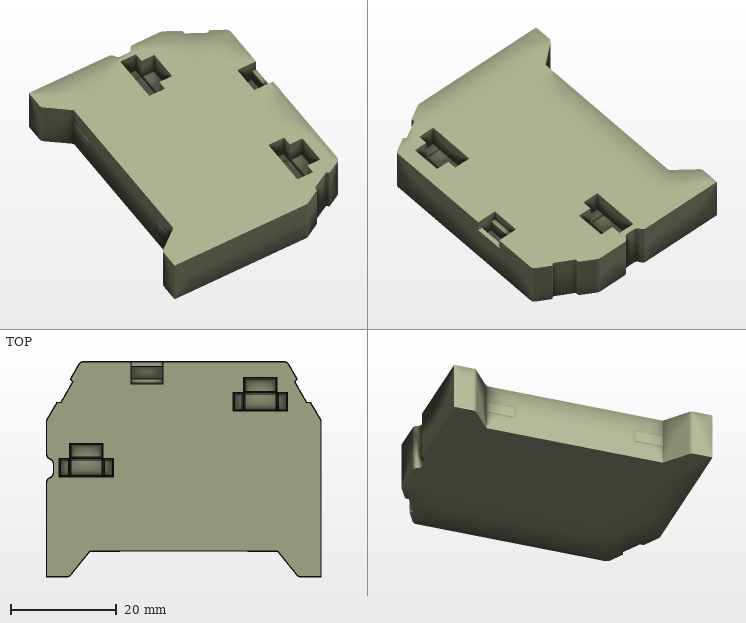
import cadquery as cq
import math

width = 52.0
height = 40.77
thickness = 9.5
half_width = width / 2
mid_plane = thickness / 2

flank_angle = math.radians(30)
top_half_width = 19.57
latch_tip_depth = 3.3
latch_root_depth = 3.85
latch_root_half_width = 21.05
step_depth = 7.7
step_inner_half_width = 23.25
step_outer_half_width = 24.0
shoulder_depth = 11.1
corner_radius = 1.0
foot_inner_half_width = 21.7
web_half_width = 17.74
web_bottom = 4.9
foot_radius = 1.0
pick_margin = 0.1

notch_depth = 1.3
notch_centre = height - 20.2
notch_floor_half = 0.83
notch_radius = 1.0

head_width = 6.35
head_height = 2.85
bar_height = 3.5
wing_width = 2.0
pocket_depth = mid_plane
pad_height = 0.5
pad_inset = 0.25
pocket_places = [
    (-18.44, height - 21.83),
    (14.5, height - 9.36),
]

slot_centre = -7.0
slot_width = 6.06
slot_length = 4.2
slot_ledge = 0.9
slot_ledge_depth = 2.2
slot_depth = mid_plane

rail_inner = 12.06
rail_outer = 17.9
rail_width = 2.4
rail_height = 0.1
rail_inset = 0.15


def block(x_start, y_start, x_size, y_size, z_start, z_size):
    """Box placed by its lowest corner."""
    return cq.Workplane("XY").box(x_size, y_size, z_size, centered=False).translate((x_start, y_start, z_start))


def frustum(x_size, y_size, tall, inset):
    """Rectangular pad centred on the origin, narrowing upward by the inset on every side."""
    return (
        cq.Workplane("XY")
        .rect(x_size, y_size)
        .workplane(offset=tall)
        .rect(x_size - 2 * inset, y_size - 2 * inset)
        .loft(ruled=True)
    )


def round_corners(body, x, y, radius):
    """Fillet the upright edges at (x, y) and at its mirror image across the centre line."""
    for side in (-1, 1):
        lowest = (side * x - pick_margin, y - pick_margin, 0)
        highest = (side * x + pick_margin, y + pick_margin, thickness)
        near_corner = cq.selectors.BoxSelector(lowest, highest)
        body = body.edges("|Z").edges(near_corner).fillet(radius)
    return body


def make_body():
    """Plate with sloping shoulders, latch tips and two feet."""
    right_half = [
        (web_half_width, web_bottom),
        (foot_inner_half_width, 0),
        (half_width, 0),
        (half_width, height - shoulder_depth),
        (step_outer_half_width, height - step_depth),
        (step_inner_half_width, height - step_depth),
        (latch_root_half_width, height - latch_root_depth),
        (top_half_width + latch_tip_depth * math.tan(flank_angle), height - latch_tip_depth),
        (top_half_width, height),
    ]
    left_half = [(-x, y) for x, y in reversed(right_half)]
    body = cq.Workplane("XY").polyline(right_half + left_half).close().extrude(thickness)

    body = round_corners(body, top_half_width, height, corner_radius)
    body = round_corners(body, half_width, height - shoulder_depth, corner_radius)
    return round_corners(body, foot_inner_half_width, 0, foot_radius)


def make_notch():
    """Side notch whose flanks are two equal tangent arcs."""
    turn = math.acos(1 - notch_depth / (2 * notch_radius))
    arc_rise = notch_radius * math.sin(turn)
    half_turn_rise = notch_radius * math.sin(turn / 2)
    half_turn_run = notch_radius * (1 - math.cos(turn / 2))
    edge = -half_width
    floor = edge + notch_depth
    middle = edge + notch_depth / 2
    inflection = notch_floor_half + arc_rise
    mouth = notch_floor_half + 2 * arc_rise
    return (
        cq.Workplane("XY", origin=(0, notch_centre, 0))
        .moveTo(edge, -mouth)
        .threePointArc((edge + half_turn_run, half_turn_rise - mouth), (middle, -inflection))
        .threePointArc((floor - half_turn_run, -notch_floor_half - half_turn_rise), (floor, -notch_floor_half))
        .lineTo(floor, notch_floor_half)
        .threePointArc((floor - half_turn_run, notch_floor_half + half_turn_rise), (middle, inflection))
        .threePointArc((edge + half_turn_run, mouth - half_turn_rise), (edge, mouth))
        .close()
        .extrude(thickness)
    )


def cut_pocket(body, x, y):
    """T-shaped pocket: a bar centred on x with its lower edge at y, and a head above it."""
    floor = thickness - pocket_depth
    bar_width = head_width + 2 * wing_width
    body = body.cut(block(x - bar_width / 2, y, bar_width, bar_height, floor, pocket_depth))
    body = body.cut(block(x - head_width / 2, y, head_width, bar_height + head_height, floor, pocket_depth))
    wing_offset = (head_width + wing_width) / 2
    bar_middle = bar_height / 2
    pads = [
        (0, bar_height + head_height / 2, head_width, head_height),
        (0, bar_middle, head_width, bar_height),
        (-wing_offset, bar_middle, wing_width, bar_height),
        (wing_offset, bar_middle, wing_width, bar_height),
    ]
    for pad_x, pad_y, pad_width, pad_length in pads:
        pad = frustum(pad_width, pad_length, pad_height, pad_inset)
        body = body.union(pad.translate((x + pad_x, y + pad_y, floor)))
    return body


def cut_slot(body):
    """Slot open to the top edge, with a ledge at each end of a deeper middle."""
    left = slot_centre - slot_width / 2
    bottom = height - slot_length
    middle_length = slot_length - 2 * slot_ledge
    body = body.cut(
        block(left, bottom, slot_width, slot_length, thickness - slot_ledge_depth, slot_ledge_depth)
    )
    return body.cut(
        block(left, bottom + slot_ledge, slot_width, middle_length, thickness - slot_depth, slot_depth)
    )


def add_rails(body):
    """Low tapered pads on the underside of the web, one against each foot."""
    rail_middle = (rail_inner + rail_outer) / 2
    for side in (-1, 1):
        rail = frustum(rail_outer - rail_inner, rail_width, rail_height, rail_inset)
        rail = rail.rotate((0, 0, 0), (1, 0, 0), 90)
        body = body.union(rail.translate((side * rail_middle, web_bottom, mid_plane)))
    return body


result = make_body().cut(make_notch())
for pocket_x, pocket_y in pocket_places:
    result = cut_pocket(result, pocket_x, pocket_y)
result = cut_slot(result)
result = add_rails(result)